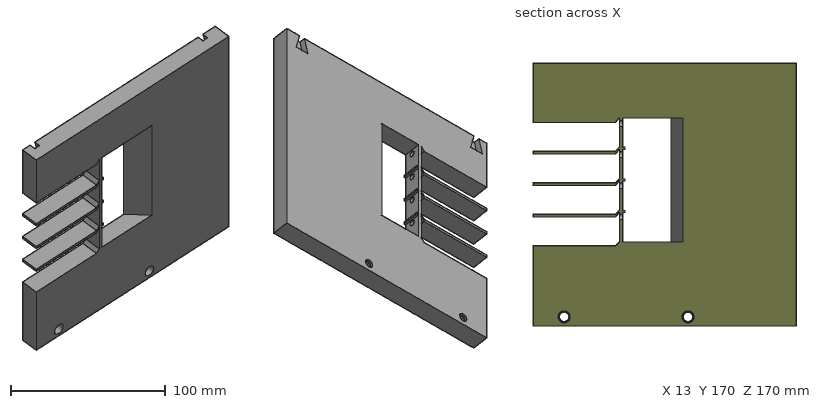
import cadquery as cq

thickness = 13.0
side = 170.0
half_side = side / 2

window_back_y = 4.0
window_front_y = -27.1
window_top_z = 49.5
window_bottom_z = -30.5
window_flare = thickness

web_thickness = 2.3
web_front_y = window_front_y - web_thickness
web_hole_diameter = 4.0
web_hole_pitch = 20.1
first_web_hole_z = 46.0

slot_count = 4
arm_count = slot_count - 1
arm_thickness = 2.0
arm_root_thickness = 1.5
crank = 2.5
roof_rise = crank + arm_thickness - arm_root_thickness
slots_top_z = window_top_z - roof_rise
slots_bottom_z = window_bottom_z - crank
slot_height = (slots_top_z - slots_bottom_z - arm_count * arm_thickness) / slot_count
slot_pitch = slot_height + arm_thickness
crank_end_y = web_front_y - crank

stub_length = 1.5

dovetail_centres_y = (72.0, -76.3)
dovetail_mouth_width = 4.0
dovetail_base_width = 10.0
dovetail_height = 11.5
dovetail_depth = 4.5

cross_hole_diameter = 6.0
counterbore_diameter = 7.5
cross_hole_land = 2.0
cross_hole_centres_y = (15.0, -65.0)
cross_hole_z = -79.0


def prism(points, depth):
    """Extrude a (y, z) outline from the -X face towards +X."""
    return cq.Workplane("YZ", origin=(-thickness / 2, 0, 0)).polyline(points).close().extrude(depth)


def window():
    straight = prism(
        [
            (window_back_y, window_top_z),
            (window_front_y, window_top_z),
            (window_front_y, window_bottom_z),
            (window_back_y, window_bottom_z),
        ],
        thickness,
    )
    flare = (
        cq.Workplane("XY", origin=(0, 0, window_bottom_z))
        .polyline(
            [
                (-thickness / 2, window_back_y),
                (thickness / 2, window_back_y),
                (thickness / 2, window_back_y + window_flare),
            ]
        )
        .close()
        .extrude(window_top_z - window_bottom_z)
    )
    return straight.union(flare)


def slot(index):
    """Slot whose inner end is cranked upwards to meet the web."""
    top_z = slots_top_z - index * slot_pitch
    bottom_z = top_z - slot_height
    outline = [
        (-half_side, top_z),
        (crank_end_y, top_z),
        (web_front_y, top_z + roof_rise),
        (web_front_y, bottom_z + crank),
        (crank_end_y, bottom_z),
        (-half_side, bottom_z),
    ]
    return prism(outline, thickness)


def stub(arm_index):
    """Short ledge on the window side of the web, flush with the top of an arm's root."""
    top_z = slots_top_z + crank - slot_height - arm_index * slot_pitch
    bottom_z = top_z - arm_root_thickness
    outline = [
        (window_front_y, top_z),
        (window_front_y + stub_length, top_z),
        (window_front_y + stub_length, bottom_z),
        (window_front_y, bottom_z),
    ]
    return prism(outline, thickness)


def web_hole(index):
    hole_z = first_web_hole_z - index * web_hole_pitch
    return (
        cq.Workplane("XZ", origin=(0, window_front_y, hole_z))
        .circle(web_hole_diameter / 2)
        .extrude(web_thickness)
    )


def dovetail(centre_y):
    base_z = half_side - dovetail_height
    outline = [
        (centre_y - dovetail_mouth_width / 2, half_side),
        (centre_y + dovetail_mouth_width / 2, half_side),
        (centre_y + dovetail_base_width / 2, base_z),
        (centre_y - dovetail_base_width / 2, base_z),
    ]
    return prism(outline, dovetail_depth)


def cross_hole(centre_y):
    """Through hole on the -X side, widened by a deep counterbore from the +X side."""
    start = cq.Workplane("YZ", origin=(-thickness / 2, centre_y, cross_hole_z))
    bore = start.circle(cross_hole_diameter / 2).extrude(thickness)
    counterbore = (
        start.workplane(offset=cross_hole_land)
        .circle(counterbore_diameter / 2)
        .extrude(thickness - cross_hole_land)
    )
    return bore.union(counterbore)


plate = cq.Workplane("XY").box(thickness, side, side).cut(window())

for slot_index in range(slot_count):
    plate = plate.cut(slot(slot_index))

for arm_index in range(arm_count):
    plate = plate.union(stub(arm_index))

for hole_index in range(slot_count):
    plate = plate.cut(web_hole(hole_index))

for pocket_y in dovetail_centres_y:
    plate = plate.cut(dovetail(pocket_y))

for hole_y in cross_hole_centres_y:
    plate = plate.cut(cross_hole(hole_y))

result = plate